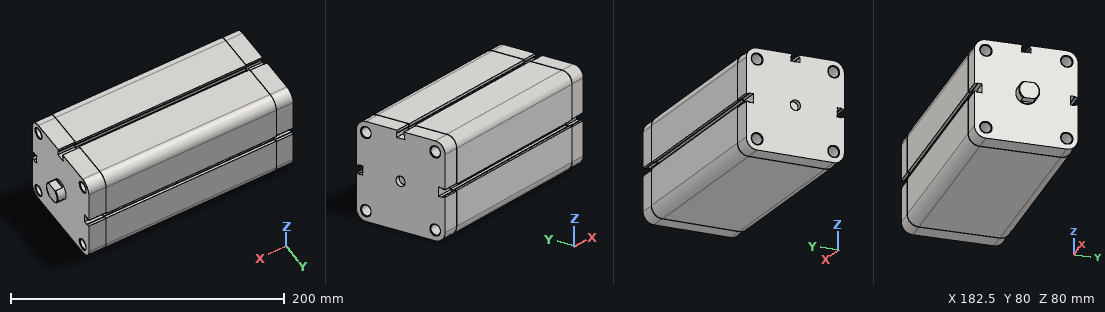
import cadquery as cq

total_length = 182.5
cap_length = 14.6
rod_reach = 7.5
body_length = total_length - rod_reach
front_cap_start = body_length - cap_length
barrel_length = front_cap_start - cap_length

barrel_size = 80.0
cap_inset = 0.2
cap_size = barrel_size - 2 * cap_inset
barrel_corner_radius = 9.0
cap_corner_radius = barrel_corner_radius - cap_inset

slot_depth = 6.0
slot_lip = 2.5
barrel_slot_mouth = 5.0
slot_undercut = 0.5
slot_widening = 1.1
cap_slot_mouth = barrel_slot_mouth + slot_widening

hole_spacing = 62.0
hole_diameter = 8.4
hole_chamfer = 0.5

centring_diameter = 8.0
centring_depth = 4.0

rod_diameter = 16.0
rod_chamfer = 0.5
flat_width = 13.0
flat_offset = 1.1


def rounded_prism(size, corner_radius, start, length):
    """Square prism along X with its four long edges rounded."""
    prism = cq.Workplane("YZ", origin=(start, 0, 0)).rect(size, size).extrude(length)
    return prism.edges("|X").fillet(corner_radius)


def slot_cutter(mouth, start, length):
    """T-shaped prism along X that cuts the slot in the +Z face."""
    top = barrel_size / 2
    ledge = top - slot_lip
    floor = top - slot_depth
    half_mouth = mouth / 2
    half_chamber = half_mouth + slot_undercut
    outline = cq.Workplane("YZ", origin=(start, 0, 0)).polyline([
        (half_mouth, top),
        (half_mouth, ledge),
        (half_chamber, ledge),
        (half_chamber, floor),
        (-half_chamber, floor),
        (-half_chamber, ledge),
        (-half_mouth, ledge),
        (-half_mouth, top),
    ])
    return outline.close().extrude(length)


def section(size, corner_radius, start, length, slot_mouth):
    """Square section with slots on the top and both sides and four corner holes."""
    block = rounded_prism(size, corner_radius, start, length)
    cutter = slot_cutter(slot_mouth, start, length)
    for angle in (-90, 0, 90):
        block = block.cut(cutter.rotate((0, 0, 0), (1, 0, 0), angle))
    holes = (
        cq.Workplane("YZ", origin=(start, 0, 0))
        .rect(hole_spacing, hole_spacing, forConstruction=True)
        .vertices()
        .circle(hole_diameter / 2)
        .extrude(length)
    )
    return block.cut(holes)


def axial_cylinder(diameter, start, length):
    """Cylinder on the X axis."""
    return cq.Workplane("YZ", origin=(start, 0, 0)).circle(diameter / 2).extrude(length)


def make_cap(start, outer_side):
    """End cap whose corner holes are chamfered on its outer face, "<X" or ">X"."""
    cap = section(cap_size, cap_corner_radius, start, cap_length, cap_slot_mouth)
    rims_and_corners = cap.faces(outer_side).edges("%CIRCLE")
    hole_rims = rims_and_corners.edges(cq.selectors.RadiusNthSelector(0))
    return hole_rims.chamfer(hole_chamfer)


def make_rear_cap():
    """Rear cap with the centring hole in its outer face."""
    return make_cap(0, "<X").cut(axial_cylinder(centring_diameter, 0, centring_depth))


def make_front_cap():
    """Front cap bored through for the rod."""
    bore = axial_cylinder(rod_diameter, front_cap_start, cap_length)
    return make_cap(front_cap_start, ">X").cut(bore)


def make_barrel():
    """Slotted barrel clamped between the caps."""
    return section(barrel_size, barrel_corner_radius, cap_length, barrel_length, barrel_slot_mouth)


def make_rod():
    """Rod filling the bore of the front cap, with wrench flats facing +Z and -Z."""
    rod = axial_cylinder(rod_diameter, front_cap_start, cap_length + rod_reach)
    rod = rod.faces(">X").chamfer(rod_chamfer)
    flat_start = body_length + flat_offset
    flat_length = total_length - flat_start
    for side in (-1, 1):
        cutter_center = side * (flat_width + rod_diameter) / 2
        cutter = (
            cq.Workplane("YZ", origin=(flat_start, 0, cutter_center))
            .rect(rod_diameter, rod_diameter)
            .extrude(flat_length)
        )
        rod = rod.cut(cutter)
    return rod


rear_cap = make_rear_cap()
front_cap = make_front_cap()
barrel = make_barrel()
rod = make_rod()

result = cq.Compound.makeCompound([rear_cap.val(), barrel.val(), front_cap.val(), rod.val()])